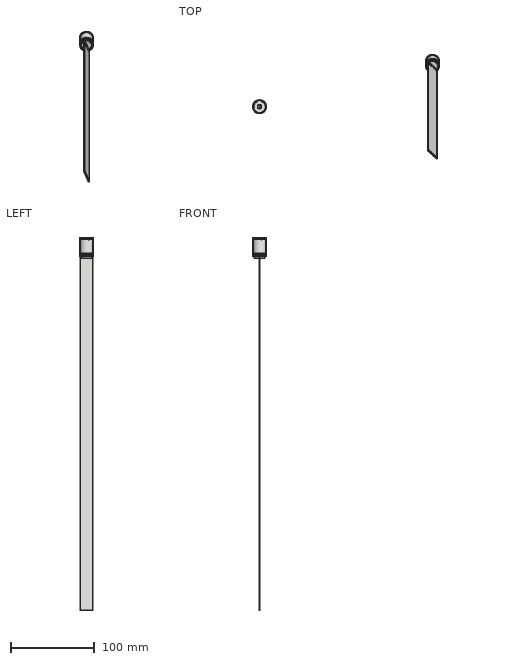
import cadquery as cq
import math

overall_height = 444.0
head_diameter = 16.0

top_rim_depth = 1.7
sleeve_end_depth = 18.5
groove_depth = 19.5
flange_depth = 21.0
head_height = 22.0

core_diameter = 15.6
groove_floor_diameter = 15.0

sleeve_diameter = 15.8

socket_across_flats = 4.5
socket_depth = 3.0

plug_diameter = 13.0
plug_length = 2.5

blade_width = 15.0
blade_thickness = 1.0
blade_length = overall_height - head_height


def make_head():
    """Turned head with a rimmed core, a groove above the lower flange, and a slotted plug."""
    head_radius = head_diameter / 2
    core_radius = core_diameter / 2
    groove_radius = groove_floor_diameter / 2
    plug_radius = plug_diameter / 2
    rim_z = overall_height - top_rim_depth
    groove_z = overall_height - groove_depth
    flange_z = overall_height - flange_depth
    plug_end_z = blade_length - plug_length
    outline = [
        (0, overall_height),
        (head_radius, overall_height),
        (head_radius, rim_z),
        (core_radius, rim_z),
        (core_radius, groove_z),
        (groove_radius, groove_z),
        (head_radius, flange_z),
        (head_radius, blade_length),
        (plug_radius, blade_length),
        (plug_radius, plug_end_z),
        (0, plug_end_z),
    ]
    body = cq.Workplane("XZ").polyline(outline).close().revolve(360, (0, 0, 0), (0, 1, 0))
    return body.cut(make_socket())


def make_socket():
    """Hexagonal prism that is cut from the top face."""
    across_corners = socket_across_flats / math.cos(math.pi / 6)
    return (
        cq.Workplane("XY")
        .workplane(offset=overall_height - socket_depth)
        .transformed(rotate=(0, 0, 90))
        .polygon(6, across_corners)
        .extrude(socket_depth)
    )


def make_sleeve():
    """Thin ring around the core, from the top rim down to the groove region."""
    return (
        cq.Workplane("XY")
        .workplane(offset=overall_height - sleeve_end_depth)
        .circle(sleeve_diameter / 2)
        .circle(core_diameter / 2)
        .extrude(sleeve_end_depth - top_rim_depth)
    )


def make_blade():
    """Flat strip whose upper end fills the plug's slot and meets the head."""
    return cq.Workplane("XY").box(blade_thickness, blade_width, blade_length, centered=(True, True, False))


blade = make_blade()
head = make_head().cut(blade)
sleeve = make_sleeve()

result = cq.Compound.makeCompound([head.val(), sleeve.val(), blade.val()])